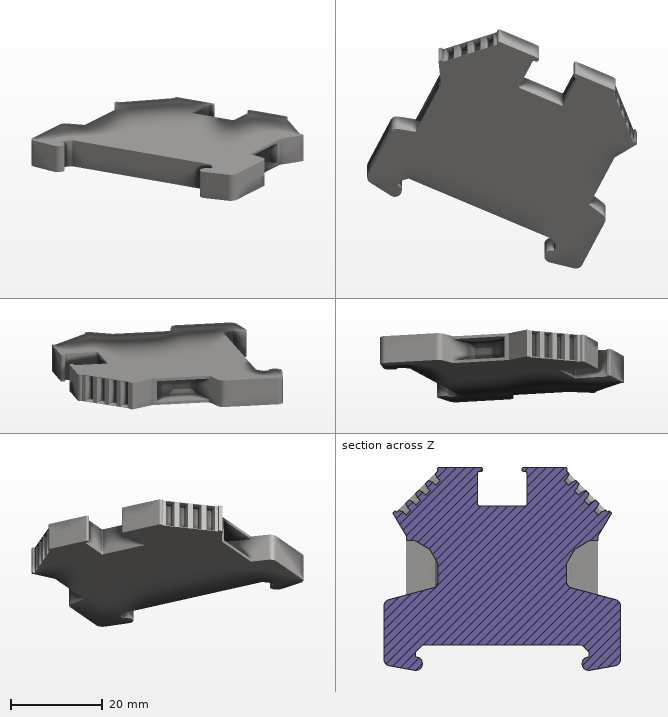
import cadquery as cq
import math

LENGTH = 52.0
HEIGHT = 44.6
THICKNESS = 6.0
HALF_LENGTH = LENGTH / 2

FOOT_RADIUS = 1.5
FOOT_BOTTOM_ANGLE = 10.0
SHOULDER_ANGLE = 15.0
HOOK_X = -19.0
RAIL_SEAT_Y = 5.5
RAIL_CHAMFER = 1.4

SIDE_X = -21.05
SHOULDER_Y = 16.65
TOE_BASE_Y = 29.55
TOE_TIP_X = -24.1
TOE_TIP_Y = 34.6
TOE_RIM_WIDTH = 0.85
TOE_RIM_RISE = 0.5

LIP_THICKNESS = 1.0
LIP_INNER_X = -4.3
LIP_INNER_RADIUS = 0.3
SLOT_HALF_WIDTH = 5.35
SLOT_FLOOR_Y = 36.2
SLOT_RADIUS = 0.3

GROOVE_COUNT = 4
GROOVE_PITCH = 3.05
GROOVE_FIRST_Y = 42.5
GROOVE_WIDTH = 2.0
GROOVE_SKIN = 0.1
GROOVE_TAPER_DEPTH = 0.9
GROOVE_TAPER_INSET = 0.3
GROOVE_DEPTH = 1.8

POCKET_WIDTH = 4.75
POCKET_TOP_Y = 28.5
POCKET_LIP_DEPTH = 1.9
POCKET_RAMP_Y = 26.55
POCKET_RAMP_ANGLE = 59.0
FUNNEL_ANGLE = 30.0
FUNNEL_INSET = 1.0
FUNNEL_TOP_Y = 24.4


def tan_deg(angle):
    return math.tan(math.radians(angle))


FLANK_OFFSET = TOE_TIP_Y - TOE_TIP_X - TOE_RIM_RISE * math.sqrt(2)
LIP_UNDERSIDE_Y = HEIGHT - LIP_THICKNESS


def shoulder_y(x):
    """Y of the shoulder plane at x."""
    return SHOULDER_Y + (x - SIDE_X) * tan_deg(SHOULDER_ANGLE)


def round_edges(body, x, y, radius):
    """Round the Z-parallel edge that passes through (x, y)."""
    edge = cq.selectors.NearestToPointSelector((x, y, 0))
    return body.edges("|Z").edges(edge).fillet(radius)


def make_half_body():
    """Left half of the plate, up to the symmetry plane X = 0."""
    slope = math.radians(FOOT_BOTTOM_ANGLE)
    hook_bottom_x = HOOK_X - FOOT_RADIUS * math.sin(slope)
    hook_bottom_y = FOOT_RADIUS * (1 - math.cos(slope))
    corner_y = hook_bottom_y + (hook_bottom_x + HALF_LENGTH) * math.tan(slope)
    shoulder_corner_y = shoulder_y(-HALF_LENGTH)

    rim_step = TOE_RIM_WIDTH / math.sqrt(2)
    rim_top = (TOE_TIP_X + rim_step, TOE_TIP_Y + rim_step)
    rise_step = TOE_RIM_RISE / math.sqrt(2)
    rim_foot = (rim_top[0] + rise_step, rim_top[1] - rise_step)

    nose_radius = LIP_THICKNESS / 2
    nose_y = HEIGHT - nose_radius
    nose_x = nose_y - FLANK_OFFSET
    nose_step = nose_radius / math.sqrt(2)

    outline = (
        cq.Workplane("XY", origin=(0, 0, -THICKNESS / 2))
        .moveTo(0, RAIL_SEAT_Y)
        .lineTo(HOOK_X + RAIL_CHAMFER, RAIL_SEAT_Y)
        .lineTo(HOOK_X, RAIL_SEAT_Y - RAIL_CHAMFER)
        .lineTo(HOOK_X, 2 * FOOT_RADIUS)
        .threePointArc((HOOK_X + FOOT_RADIUS, FOOT_RADIUS), (hook_bottom_x, hook_bottom_y))
        .lineTo(-HALF_LENGTH, corner_y)
        .lineTo(-HALF_LENGTH, shoulder_corner_y)
        .lineTo(SIDE_X, SHOULDER_Y)
        .lineTo(SIDE_X, TOE_BASE_Y)
        .lineTo(TOE_TIP_X, TOE_TIP_Y)
        .lineTo(*rim_top)
        .lineTo(*rim_foot)
        .lineTo(nose_x - nose_step, nose_y - nose_step)
        .threePointArc((nose_x - nose_radius, nose_y), (nose_x, HEIGHT))
        .lineTo(LIP_INNER_X, HEIGHT)
        .lineTo(LIP_INNER_X, LIP_UNDERSIDE_Y)
        .lineTo(-SLOT_HALF_WIDTH, LIP_UNDERSIDE_Y)
        .lineTo(-SLOT_HALF_WIDTH, SLOT_FLOOR_Y)
        .lineTo(0, SLOT_FLOOR_Y)
        .close()
    )
    body = outline.extrude(THICKNESS)

    for y in (corner_y, shoulder_corner_y):
        body = round_edges(body, -HALF_LENGTH, y, FOOT_RADIUS)
    for y in (HEIGHT, LIP_UNDERSIDE_Y):
        body = round_edges(body, LIP_INNER_X, y, LIP_INNER_RADIUS)
    for y in (LIP_UNDERSIDE_Y, SLOT_FLOOR_Y):
        body = round_edges(body, -SLOT_HALF_WIDTH, y, SLOT_RADIUS)
    return body


def make_grooves():
    """Row of grooves with a tapered mouth, cut square to the 45 degree flank."""
    mouth_length = THICKNESS - 2 * GROOVE_SKIN
    inner_width = GROOVE_WIDTH - 2 * GROOVE_TAPER_INSET
    inner_length = mouth_length - 2 * GROOVE_TAPER_INSET
    flank = cq.Plane(
        origin=(GROOVE_FIRST_Y - FLANK_OFFSET, GROOVE_FIRST_Y, 0),
        xDir=(-1, -1, 0),
        normal=(1, -1, 0),
    )
    grooves = cq.Workplane(flank)
    for index in range(GROOVE_COUNT):
        place = cq.Workplane(flank).center(index * GROOVE_PITCH, 0)
        mouth = (
            place.rect(GROOVE_WIDTH, mouth_length)
            .workplane(offset=GROOVE_TAPER_DEPTH)
            .rect(inner_width, inner_length)
            .loft(ruled=True)
        )
        shaft = place.rect(inner_width, inner_length).extrude(GROOVE_DEPTH)
        grooves = grooves.add(mouth.union(shaft))
    return grooves.combine()


def make_wire_entry():
    """Pocket that narrows over two ramps and ends in a shallow rectangular funnel."""
    ramp_start_x = SIDE_X + POCKET_LIP_DEPTH
    ramp_end_x = ramp_start_x + (POCKET_TOP_Y - POCKET_RAMP_Y) * tan_deg(POCKET_RAMP_ANGLE)
    funnel_x = ramp_end_x + (POCKET_RAMP_Y - FUNNEL_TOP_Y) * tan_deg(FUNNEL_ANGLE)
    funnel_bottom_y = shoulder_y(funnel_x)

    pocket = (
        cq.Workplane("XY", origin=(0, 0, -POCKET_WIDTH / 2))
        .polyline(
            [
                (SIDE_X, SHOULDER_Y),
                (SIDE_X, POCKET_TOP_Y),
                (ramp_start_x, POCKET_TOP_Y),
                (ramp_end_x, POCKET_RAMP_Y),
                (funnel_x, FUNNEL_TOP_Y),
                (funnel_x, funnel_bottom_y),
            ]
        )
        .close()
        .extrude(POCKET_WIDTH)
    )

    funnel_height = FUNNEL_TOP_Y - funnel_bottom_y
    funnel = (
        cq.Workplane("YZ", origin=(funnel_x, (FUNNEL_TOP_Y + funnel_bottom_y) / 2, 0))
        .rect(funnel_height, POCKET_WIDTH)
        .workplane(offset=FUNNEL_INSET * tan_deg(FUNNEL_ANGLE))
        .rect(funnel_height - 2 * FUNNEL_INSET, POCKET_WIDTH - 2 * FUNNEL_INSET)
        .loft(ruled=True)
    )
    return pocket.union(funnel)


half = make_half_body().cut(make_grooves()).cut(make_wire_entry())
result = half.union(half.mirror("YZ"))